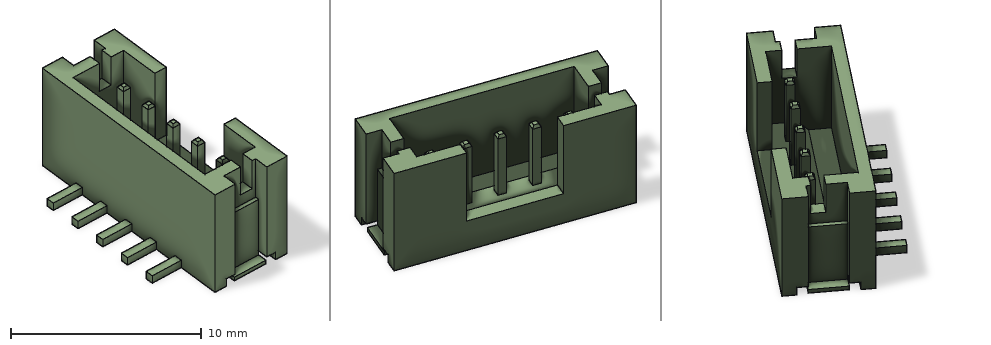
import cadquery as cq

length = 13.95
depth = 5.0
height = 6.6
half_length = length / 2

front_wall = 0.71
back_wall = 0.8
end_wall = 1.66
floor_height = 1.67
ramp_top_y = 2.54
ramp_run = 0.61
ramp_drop = 0.61

opening_width = 5.58
opening_bottom = 2.0

groove_y = 1.4
groove_width = 2.19
groove_depth = 0.9
slot_y = 2.54
slot_width = 0.81
slot_depth = 1.9
clearance_inset = 0.8
clearance_height = 0.5

pin_count = 5
pin_span = 8.0
pin_pitch = pin_span / (pin_count - 1)
pin_size = 0.5
pin_back_y = 3.35
pin_top = 5.65
pin_tip_height = 0.17
pin_tip_inset = 0.11
tail_reach = 2.01

tab_thickness = 0.25
tab_top = 4.0
foot_setback = 0.07


def block(x_range, y_range, z_range):
    """Box spanning the given (low, high) limits along each axis."""
    sizes = [high - low for low, high in (x_range, y_range, z_range)]
    corner = (x_range[0], y_range[0], z_range[0])
    return cq.Workplane("XY").box(*sizes, centered=False).translate(corner)


def on_both_ends(left_shape):
    """A shape at the -X end together with its mirror image at the +X end."""
    return left_shape.union(left_shape.mirror("YZ"))


def make_cavity():
    cavity_length = length - 2 * end_wall
    back_y = depth - back_wall
    lower_floor = floor_height - ramp_drop
    return (
        cq.Workplane("YZ")
        .moveTo(front_wall, height)
        .lineTo(front_wall, lower_floor)
        .lineTo(ramp_top_y - ramp_run, lower_floor)
        .lineTo(ramp_top_y, floor_height)
        .lineTo(back_y, floor_height)
        .lineTo(back_y, height)
        .close()
        .extrude(cavity_length / 2, both=True)
    )


def make_back_opening():
    x_range = (-opening_width / 2, opening_width / 2)
    return block(x_range, (depth - back_wall, depth), (opening_bottom, height))


def make_end_cuts():
    outer_x = -half_length
    cavity_x = outer_x + end_wall
    groove = block(
        (outer_x, outer_x + groove_depth),
        (groove_y, groove_y + groove_width),
        (0, height),
    )
    slot = block(
        (outer_x + groove_depth, cavity_x),
        (slot_y, slot_y + slot_width),
        (height - slot_depth, height),
    )
    clearance = block(
        (outer_x, cavity_x),
        (clearance_inset, depth - clearance_inset),
        (0, clearance_height),
    )
    return on_both_ends(groove.union(slot).union(clearance))


def make_pin(center_x):
    x_range = (center_x - pin_size / 2, center_x + pin_size / 2)
    shaft_top = pin_top - pin_tip_height
    y_range = (pin_back_y - pin_size, pin_back_y)
    shaft = block(x_range, y_range, (0, shaft_top))
    tip_size = pin_size - 2 * pin_tip_inset
    tip = (
        cq.Workplane("XY", origin=(center_x, pin_back_y - pin_size / 2, shaft_top))
        .rect(pin_size, pin_size)
        .workplane(offset=pin_tip_height)
        .rect(tip_size, tip_size)
        .loft(ruled=True)
    )
    tail = block(x_range, (-tail_reach, pin_back_y), (0, pin_size))
    return shaft.union(tip).union(tail)


def make_tabs():
    y_range = (groove_y, groove_y + groove_width)
    inner_x = -half_length + groove_depth
    upright = block((inner_x - tab_thickness, inner_x), y_range, (0, tab_top))
    foot = block((-half_length + foot_setback, inner_x), y_range, (0, tab_thickness))
    return on_both_ends(upright.union(foot))


housing = block((-half_length, half_length), (0, depth), (0, height))
housing = housing.cut(make_cavity()).cut(make_back_opening()).cut(make_end_cuts())
result = housing.union(make_tabs())
for index in range(pin_count):
    result = result.union(make_pin((index - (pin_count - 1) / 2) * pin_pitch))